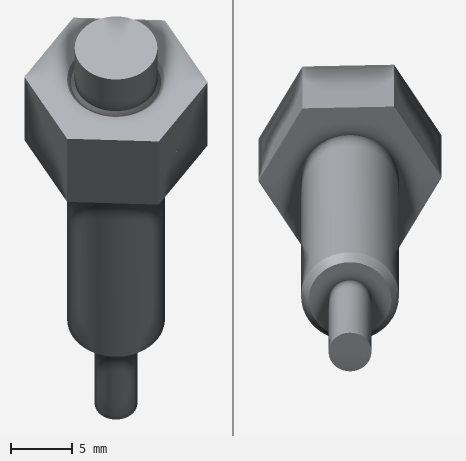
import cadquery as cq
import math

thread_diameter = 8.0
thread_root_diameter = 6.77
barrel_length = 31.0
lead_in_angle = 45.0
lead_in_width = (thread_diameter - thread_root_diameter) / 2
lead_in_height = lead_in_width * math.tan(math.radians(lead_in_angle))

head_length = 4.0
cable_diameter = 3.5
cable_length = 10.0

nut_count = 2
hexagon_sides = 6
half_side_angle = 180 / hexagon_sides
nut_thickness = 4.0
nut_across_flats = 13.0
nut_across_corners = nut_across_flats / math.cos(math.radians(half_side_angle))
nut_bore_diameter = 6.92
countersink_depth = (thread_diameter - nut_bore_diameter) / 2


def make_nut(base_height):
    """Hexagon nut with two flats facing +X and -X and a bore countersunk at both ends."""
    return (
        cq.Workplane("XY", origin=(0, 0, base_height))
        .polygon(hexagon_sides, nut_across_corners)
        .circle(nut_bore_diameter / 2)
        .extrude(nut_thickness)
        .edges("%CIRCLE")
        .chamfer(countersink_depth)
        .rotate((0, 0, 0), (0, 0, 1), half_side_angle)
    )


def make_sensor(nuts):
    """Cable, threaded barrel and sensing head turned as one, with the nuts' material cut away."""
    thread_radius = thread_diameter / 2
    root_radius = thread_root_diameter / 2
    cable_radius = cable_diameter / 2
    head_top = barrel_length + head_length
    profile = [
        (0, -cable_length),
        (cable_radius, -cable_length),
        (cable_radius, 0),
        (root_radius, 0),
        (thread_radius, lead_in_height),
        (thread_radius, barrel_length - lead_in_height),
        (root_radius, barrel_length),
        (root_radius, head_top),
        (0, head_top),
    ]
    sensor = cq.Workplane("XZ").polyline(profile).close().revolve(360, (0, 0, 0), (0, 1, 0))
    for nut in nuts:
        sensor = sensor.cut(nut)
    return sensor


nuts = [make_nut(barrel_length - (level + 1) * nut_thickness) for level in range(nut_count)]
sensor = make_sensor(nuts)

result = cq.Compound.makeCompound([sensor.solids().val(), *[nut.solids().val() for nut in nuts]])